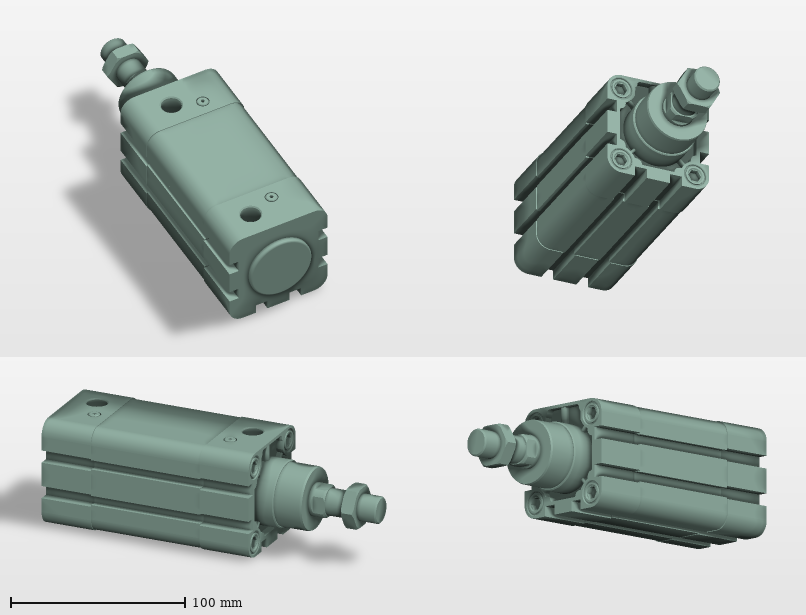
import cadquery as cq
import math

OVERALL_LENGTH = 203.5

CAP_FRONT_X = 69.0
CAP_LENGTH = 31.1
BARREL_LENGTH = 68.8
CAP_HALF_WIDTH = 32.0
BARREL_HALF_WIDTH = 31.5
CORNER_RADIUS = 8.8
BARREL_FRONT_X = CAP_FRONT_X + CAP_LENGTH
BARREL_REAR_X = BARREL_FRONT_X + BARREL_LENGTH
CAP_REAR_X = BARREL_REAR_X + CAP_LENGTH

SLOT_OFFSET = 11.0
CAP_SLOT_WIDTH = 7.5
CAP_SLOT_FLOOR = 26.0
BARREL_MOUTH_WIDTH = 5.7
BARREL_LIP_THICKNESS = 1.8
BARREL_SLOT_WIDTH = 6.5
BARREL_SLOT_FLOOR = 26.7

BEARING_FRONT_X = 41.7
BEARING_STEP_X = 59.2
BEARING_RADIUS = 37.9 / 2
COLLAR_RADIUS = 40.0 / 2
BEARING_CHAMFER_LENGTH = 1.2
BEARING_CHAMFER_HEIGHT = 0.5
COLLAR_CHAMFER = 0.6
REAR_COLLAR_FILLET = 1.2

RECESS_DEPTH = 4.5
RECESS_HALF_WIDTH = 24.0
RECESS_TOP = 30.1
RECESS_TOP_HALF_WIDTH = 11.5
RECESS_NECK_HALF_WIDTH = 14.5
RECESS_NECK_TOP = 25.8
RIB_RADIUS = 1.0
RIB_SETBACK = 2.0
ROOT_OVERLAP = 2.0
POST_RADIUS = 2.2
POST_Y = 1.8
POST_SETBACK = 3.3

SCREW_OFFSET = 23.2
SCREW_MOUTH_DIAMETER = 14.2
SCREW_BORE_DIAMETER = 13.5
SCREW_HEAD_DIAMETER = 11.4
SCREW_MOUTH_DEPTH = 0.5
SCREW_GROOVE_DEPTH = 1.0
SCREW_SOCKET_MOUTH_DIAMETER = 9.4
SCREW_SOCKET_ACROSS_CORNERS = 8.0
SCREW_SOCKET_DEPTH = 4.0

PORT_SETBACK = 15.7
PORT_MOUTH_DIAMETER = 13.5
PORT_DIAMETER = 12.0
PORT_DEPTH = 12.2
VALVE_SETBACK = 22.0
VALVE_RECESS_DIAMETER = 8.0
VALVE_HEAD_DIAMETER = 6.7
VALVE_HEAD_HEIGHT = 0.5
VALVE_HEAD_CHAMFER = 0.5
VALVE_GROOVE_DEPTH = 1.0
VALVE_SOCKET_ACROSS_CORNERS = 2.5
VALVE_SOCKET_DEPTH = 2.0
NEAR_OFFSET = 7.3
FAR_OFFSET = 9.8

ROD_RADIUS = 20.0 / 2
ROD_END_X = BARREL_FRONT_X
THREAD_RADIUS = 16.0 / 2
THREAD_END_X = 32.0
TIP_CHAMFER = 0.8
SHOULDER_CHAMFER = 1.0
FLAT_HALF_WIDTH = 8.5
FLAT_END_X = 39.0
FLAT_RAMP_LENGTH = 0.8
NUT_FRONT_X = 11.8
NUT_LENGTH = 8.0
NUT_ACROSS_FLATS = 23.5
NUT_CHAMFER_LENGTH = 0.8
NUT_FACE_RADIUS = 12.2


def section_plane(x):
    """Plane across the axis at x, with local x along +Y and local y along +Z."""
    return cq.Workplane("YZ", origin=(x, 0, 0))


def turned(profile):
    """Solid of revolution about the X axis from (x, radius) points."""
    return cq.Workplane("XY").polyline(profile).close().revolve(360, (0, 0, 0), (1, 0, 0))


def block(x, length, half_width):
    """Square bar along X with rounded lengthwise edges."""
    bar = section_plane(x).rect(2 * half_width, 2 * half_width).extrude(length)
    return bar.edges("|X").fillet(CORNER_RADIUS)


def cut_slots(body, x, length, profile):
    """Cut one slot profile, given as (outward, sideways) points, on the sides and underneath."""
    for angle in (-90, 0, 180):
        for offset in (-SLOT_OFFSET, SLOT_OFFSET):
            points = [(outward, offset + sideways) for outward, sideways in profile]
            cutter = section_plane(x).polyline(points).close().extrude(length)
            body = body.cut(cutter.rotate((0, 0, 0), (1, 0, 0), angle))
    return body


def mirrored_profile(half_profile):
    """Complete a symmetric slot profile from the points on its positive side."""
    return half_profile + [(outward, -sideways) for outward, sideways in reversed(half_profile)]


def end_cap(x):
    half_slot = CAP_SLOT_WIDTH / 2
    profile = mirrored_profile([
        (CAP_SLOT_FLOOR, half_slot),
        (CAP_HALF_WIDTH, half_slot),
    ])
    return cut_slots(block(x, CAP_LENGTH, CAP_HALF_WIDTH), x, CAP_LENGTH, profile)


def barrel():
    lip_inner = BARREL_HALF_WIDTH - BARREL_LIP_THICKNESS
    profile = mirrored_profile([
        (BARREL_SLOT_FLOOR, BARREL_SLOT_WIDTH / 2),
        (lip_inner, BARREL_SLOT_WIDTH / 2),
        (lip_inner, BARREL_MOUTH_WIDTH / 2),
        (BARREL_HALF_WIDTH, BARREL_MOUTH_WIDTH / 2),
    ])
    bar = block(BARREL_FRONT_X, BARREL_LENGTH, BARREL_HALF_WIDTH)
    return cut_slots(bar, BARREL_FRONT_X, BARREL_LENGTH, profile)


def front_recess():
    """Pocket that follows the slots and screw bosses of the front cap, symmetric about Y = 0."""
    wall_end = (RECESS_HALF_WIDTH, 10.0)
    ledge = (22.0, 10.8)
    slot_arc_middle = (21.0, 12.0)
    boss_start = (20.5, 14.7)
    boss_middle = (17.0, 17.0)
    boss_end = (14.7, 20.5)
    neck_end = (RECESS_NECK_HALF_WIDTH, RECESS_NECK_TOP)
    neck_arc_middle = (13.6, 26.9)
    shoulder_start = (13.2, 28.0)
    shoulder_middle = (12.8, 29.3)

    def below(point):
        """Mirror image across Z = 0."""
        return (point[0], -point[1])

    def across_lower_diagonal(point):
        """Mirror image in the diagonal through the lower screw boss, for a point above Z = 0."""
        return (point[1], -point[0])

    half = (
        section_plane(CAP_FRONT_X)
        .moveTo(0, RECESS_TOP)
        .lineTo(RECESS_TOP_HALF_WIDTH, RECESS_TOP)
        .threePointArc(shoulder_middle, shoulder_start)
        .threePointArc(neck_arc_middle, neck_end)
        .lineTo(*boss_end)
        .threePointArc(boss_middle, boss_start)
        .threePointArc(slot_arc_middle, ledge)
        .lineTo(*wall_end)
        .lineTo(*below(wall_end))
        .lineTo(*below(ledge))
        .threePointArc(below(slot_arc_middle), below(boss_start))
        .threePointArc(below(boss_middle), across_lower_diagonal(boss_start))
        .threePointArc(across_lower_diagonal(slot_arc_middle), across_lower_diagonal(ledge))
        .lineTo(*across_lower_diagonal(wall_end))
        .lineTo(0, -RECESS_HALF_WIDTH)
        .close()
        .extrude(RECESS_DEPTH)
    )
    return half.union(half.mirror("XZ"))


def round_nosed_bar(y, bottom, top, radius, setback):
    """Upright bar that stands out from the recess floor and ends in a round nose."""
    stem_length = RECESS_DEPTH - setback
    base = cq.Workplane("XY", origin=(CAP_FRONT_X + setback, y, bottom))
    nose = base.circle(radius).extrude(top - bottom)
    stem = base.center(stem_length / 2, 0).rect(stem_length, 2 * radius).extrude(top - bottom)
    return nose.union(stem)


def recess_ribs():
    """Four diagonal ribs between the bearing collar and the screw bosses."""
    inner = COLLAR_RADIUS - ROOT_OVERLAP
    outer = SCREW_OFFSET * math.sqrt(2) - CORNER_RADIUS + RIB_RADIUS
    rib = round_nosed_bar(0, inner, outer, RIB_RADIUS, RIB_SETBACK)
    ribs = cq.Workplane("XY")
    for angle in (45, 135, 225, 315):
        ribs = ribs.add(rib.rotate((0, 0, 0), (1, 0, 0), angle))
    return ribs.combine()


def recess_post():
    """Post from the top wall of the recess down to the bearing collar."""
    bottom = COLLAR_RADIUS - ROOT_OVERLAP
    top = (RECESS_TOP + CAP_HALF_WIDTH) / 2
    return round_nosed_bar(POST_Y, bottom, top, POST_RADIUS, POST_SETBACK)


def bearing_collar():
    return turned([
        (BEARING_FRONT_X, 0),
        (BEARING_FRONT_X, BEARING_RADIUS - BEARING_CHAMFER_HEIGHT),
        (BEARING_FRONT_X + BEARING_CHAMFER_LENGTH, BEARING_RADIUS),
        (BEARING_STEP_X, BEARING_RADIUS),
        (BEARING_STEP_X, COLLAR_RADIUS - COLLAR_CHAMFER),
        (BEARING_STEP_X + COLLAR_CHAMFER, COLLAR_RADIUS),
        (BARREL_FRONT_X, COLLAR_RADIUS),
        (BARREL_FRONT_X, 0),
    ])


def rear_collar():
    collar = section_plane(CAP_REAR_X).circle(COLLAR_RADIUS).extrude(OVERALL_LENGTH - CAP_REAR_X)
    return collar.faces(">X").edges().fillet(REAR_COLLAR_FILLET)


def cone_cutter(plane, mouth_diameter, bottom_diameter, depth):
    """Truncated cone from a face to the given depth along the plane's normal."""
    return (
        plane.circle(mouth_diameter / 2)
        .workplane(offset=depth)
        .circle(bottom_diameter / 2)
        .loft()
    )


def screw_cutter():
    """Chamfered ring groove around a flush screw head, and the head's hexagon socket."""
    face = section_plane(CAP_FRONT_X)
    mouth = cone_cutter(face, SCREW_MOUTH_DIAMETER, SCREW_BORE_DIAMETER, SCREW_MOUTH_DEPTH)
    groove = face.circle(SCREW_BORE_DIAMETER / 2).extrude(SCREW_GROOVE_DEPTH)
    head = face.circle(SCREW_HEAD_DIAMETER / 2).extrude(SCREW_GROOVE_DEPTH)
    socket_mouth_depth = (SCREW_SOCKET_MOUTH_DIAMETER - SCREW_SOCKET_ACROSS_CORNERS) / 2
    socket_mouth = cone_cutter(
        face, SCREW_SOCKET_MOUTH_DIAMETER, SCREW_SOCKET_ACROSS_CORNERS, socket_mouth_depth
    )
    socket = face.polygon(6, SCREW_SOCKET_ACROSS_CORNERS).extrude(SCREW_SOCKET_DEPTH)
    return mouth.union(groove).cut(head).union(socket_mouth).union(socket)


def cut_screws(body):
    cutter = screw_cutter()
    for y in (-SCREW_OFFSET, SCREW_OFFSET):
        for z in (-SCREW_OFFSET, SCREW_OFFSET):
            body = body.cut(cutter.translate((0, y, z)))
    return body


def top_plane(x, y):
    return cq.Workplane("XY", origin=(x, y, CAP_HALF_WIDTH))


def cut_port(body, x, y):
    """Blind air port with a chamfered mouth."""
    mouth_chamfer = (PORT_MOUTH_DIAMETER - PORT_DIAMETER) / 2
    hole = top_plane(x, y).circle(PORT_DIAMETER / 2).extrude(-PORT_DEPTH)
    mouth = cone_cutter(top_plane(x, y), PORT_MOUTH_DIAMETER, PORT_DIAMETER, -mouth_chamfer)
    return body.cut(hole).cut(mouth)


def add_valve(body, x, y):
    """Valve head standing slightly proud of the cap inside a ring groove."""
    recess = top_plane(x, y).circle(VALVE_RECESS_DIAMETER / 2).extrude(-VALVE_GROOVE_DEPTH)
    head = (
        top_plane(x, y)
        .workplane(offset=-VALVE_GROOVE_DEPTH)
        .circle(VALVE_HEAD_DIAMETER / 2)
        .extrude(VALVE_GROOVE_DEPTH + VALVE_HEAD_HEIGHT)
        .faces(">Z")
        .edges()
        .chamfer(VALVE_HEAD_CHAMFER)
    )
    socket = (
        top_plane(x, y)
        .workplane(offset=VALVE_HEAD_HEIGHT)
        .polygon(6, VALVE_SOCKET_ACROSS_CORNERS)
        .extrude(-VALVE_SOCKET_DEPTH)
    )
    return body.cut(recess).union(head).cut(socket)


def make_housing():
    body = end_cap(CAP_FRONT_X).cut(front_recess())
    body = body.union(recess_ribs()).union(recess_post()).union(bearing_collar())
    body = cut_screws(body)
    body = body.union(barrel()).union(end_cap(BARREL_REAR_X)).union(rear_collar())
    body = cut_port(body, CAP_FRONT_X + PORT_SETBACK, -NEAR_OFFSET)
    body = cut_port(body, CAP_REAR_X - PORT_SETBACK, -FAR_OFFSET)
    body = add_valve(body, CAP_FRONT_X + VALVE_SETBACK, FAR_OFFSET)
    body = add_valve(body, CAP_REAR_X - VALVE_SETBACK, NEAR_OFFSET)
    rod_bore = section_plane(BEARING_FRONT_X).circle(ROD_RADIUS).extrude(ROD_END_X - BEARING_FRONT_X)
    return body.cut(rod_bore)


def nut():
    """Hexagon nut with two flats facing up and down and its corners turned down at both faces."""
    corner_radius = NUT_ACROSS_FLATS / math.sqrt(3)
    hexagon = section_plane(NUT_FRONT_X).polygon(6, 2 * corner_radius).extrude(NUT_LENGTH)
    rear_x = NUT_FRONT_X + NUT_LENGTH
    envelope = turned([
        (NUT_FRONT_X, 0),
        (NUT_FRONT_X, NUT_FACE_RADIUS),
        (NUT_FRONT_X + NUT_CHAMFER_LENGTH, corner_radius),
        (rear_x - NUT_CHAMFER_LENGTH, corner_radius),
        (rear_x, NUT_FACE_RADIUS),
        (rear_x, 0),
    ])
    return hexagon.intersect(envelope)


def wrench_flat():
    """Cutter for one wrench flat above the rod, with a ramp at its inner end."""
    return (
        cq.Workplane("XZ")
        .polyline([
            (THREAD_END_X, FLAT_HALF_WIDTH),
            (FLAT_END_X, FLAT_HALF_WIDTH),
            (FLAT_END_X + FLAT_RAMP_LENGTH, ROD_RADIUS),
            (THREAD_END_X, ROD_RADIUS),
        ])
        .close()
        .extrude(ROD_RADIUS, both=True)
    )


def make_piston_rod():
    rod = turned([
        (0, 0),
        (0, THREAD_RADIUS - TIP_CHAMFER),
        (TIP_CHAMFER, THREAD_RADIUS),
        (THREAD_END_X, THREAD_RADIUS),
        (THREAD_END_X, ROD_RADIUS - SHOULDER_CHAMFER),
        (THREAD_END_X + SHOULDER_CHAMFER, ROD_RADIUS),
        (ROD_END_X, ROD_RADIUS),
        (ROD_END_X, 0),
    ])
    cutter = wrench_flat()
    for angle in (0, 90, 180, 270):
        rod = rod.cut(cutter.rotate((0, 0, 0), (1, 0, 0), angle))
    return rod.union(nut())


housing = make_housing()
piston_rod = make_piston_rod()
result = cq.Compound.makeCompound([housing.val(), piston_rod.val()])